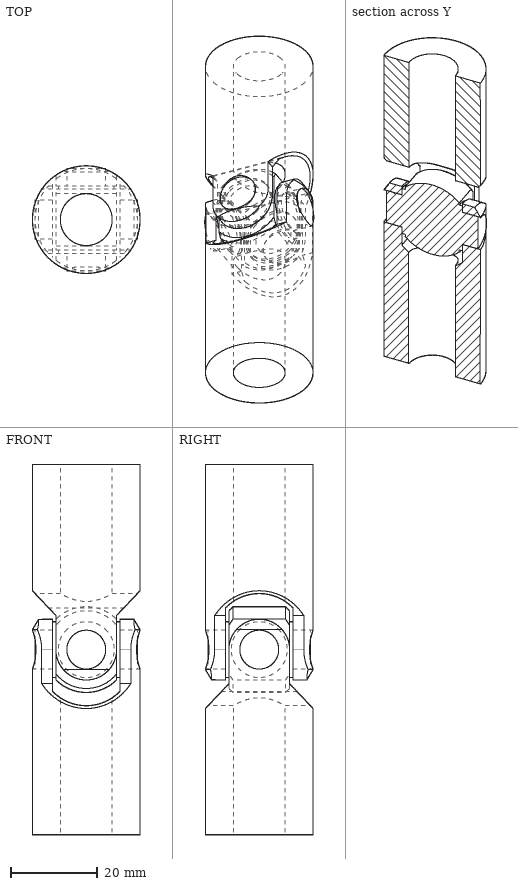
import cadquery as cq

total_length = 86.0
yoke_diameter = 25.0
yoke_radius = yoke_diameter / 2
half_length = total_length / 2
bore_diameter = 12.0

ear_half_width = 7.05
slot_half_width = 7.8
cavity_radius = 10.9
cavity_depth = 13.0
shoulder_start = 7.9
shoulder_end = 13.7
tip_chamfer_start = 4.65
tip_chamfer_depth = 1.5

cross_radius = 10.0
cross_half_width = 7.05
cross_chamfer = 0.95
boss_diameter = 13.0
pin_diameter = 9.0
pin_half_length = 11.9


def rod(axis, diameter, length):
    """Cylinder centred on the origin, along the X or Y axis."""
    plane = {"X": "YZ", "Y": "XZ"}[axis]
    return cq.Workplane(plane).circle(diameter / 2).extrude(length / 2, both=True)


def ear_outline():
    """Side profile of the yoke, with round-ended ears widening along sloping shoulders into the barrel."""
    return (
        cq.Workplane("YZ")
        .moveTo(-yoke_radius, -half_length)
        .lineTo(yoke_radius, -half_length)
        .lineTo(yoke_radius, -shoulder_end)
        .lineTo(ear_half_width, -shoulder_start)
        .lineTo(ear_half_width, 0)
        .threePointArc((0, ear_half_width), (-ear_half_width, 0))
        .lineTo(-ear_half_width, -shoulder_start)
        .lineTo(-yoke_radius, -shoulder_end)
        .close()
        .extrude(yoke_radius, both=True)
    )


def turned_blank():
    """Barrel with a conical end at the ear tips."""
    return (
        cq.Workplane("XZ")
        .moveTo(0, -half_length)
        .lineTo(yoke_radius, -half_length)
        .lineTo(yoke_radius, tip_chamfer_start)
        .lineTo(yoke_radius - tip_chamfer_depth, ear_half_width)
        .lineTo(0, ear_half_width)
        .close()
        .revolve(360, (0, 0), (0, 1))
    )


def fork_slot():
    """Gap between the ears, with a floor rounded about the Y axis."""
    floor_centre = cavity_radius - cavity_depth
    floor = rod("Y", 2 * cavity_radius, yoke_diameter).translate((0, 0, floor_centre))
    slot_height = cavity_depth + ear_half_width
    sides = cq.Workplane("XY").box(2 * slot_half_width, yoke_diameter, slot_height)
    sides = sides.translate((0, 0, ear_half_width - slot_height / 2))
    above_floor = cq.Workplane("XY").workplane(offset=floor_centre).rect(2 * cavity_radius, yoke_diameter)
    return floor.union(above_floor.extrude(slot_height)).intersect(sides)


def make_yoke():
    """Lower yoke, with its ears at +X and -X and its barrel towards -Z."""
    bore = cq.Workplane("XY").workplane(offset=-half_length).circle(bore_diameter / 2).extrude(half_length)
    pin_holes = rod("X", pin_diameter, yoke_diameter)
    return turned_blank().intersect(ear_outline()).cut(fork_slot()).cut(bore).cut(pin_holes)


def make_cross():
    """Central block with a bearing boss and a pin on each of its four sides."""
    flats = cq.Workplane("XY").box(2 * cross_half_width, 2 * cross_half_width, 2 * cross_radius)
    cross = rod("Y", 2 * cross_radius, 2 * cross_half_width).edges().chamfer(cross_chamfer).intersect(flats)
    for axis in ("X", "Y"):
        cross = cross.union(rod(axis, boss_diameter, 2 * slot_half_width))
        cross = cross.union(rod(axis, pin_diameter, 2 * pin_half_length))
    return cross


lower_yoke = make_yoke()
upper_yoke = make_yoke().rotate((0, 0, 0), (1, 0, 0), 180).rotate((0, 0, 0), (0, 0, 1), 90)
cross = make_cross()

result = cq.Compound.makeCompound([lower_yoke.val(), upper_yoke.val(), cross.val()])